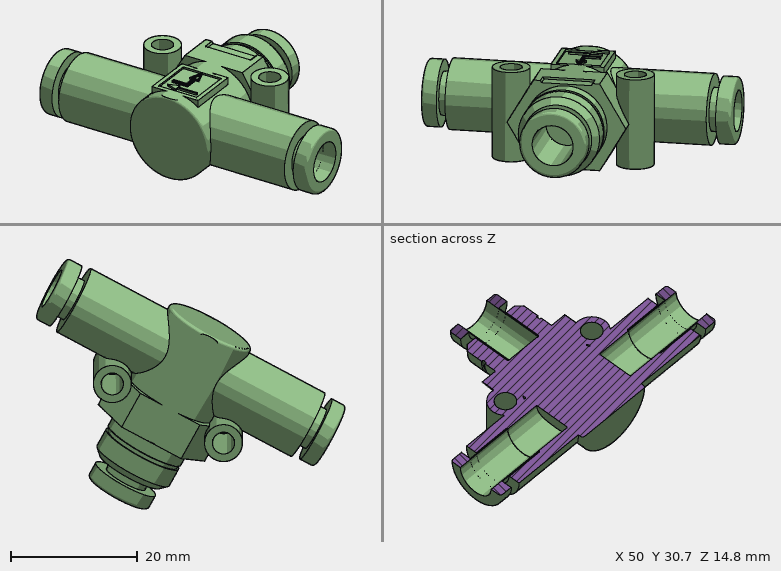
import cadquery as cq


length = 50.0
branch_length = 24.0
barrel_front = -6.65

bush_reach = 3.95
flange_width = 2.5
flange_radius = 5.4
flange_fillet = 0.5
neck_radius = 3.5
bore_radius = 3.3

tube_radius = 5.7
run_face = length / 2 - bush_reach

barrel_diameter = 14.65
barrel_radius = barrel_diameter / 2
barrel_fillet = 0.5
body_height = 14.35
top_z = body_height / 2

hex_back = 13.0
hex_front = 6.8
hex_corner_width = 19.15
hex_flat_width = 10.7

notch_width = 8.4
notch_floor_width = 8.0
notch_length = 2.0
notch_depth = 0.35

collar_radius = 6.55
collar_face = branch_length - bush_reach
sleeve_depth = collar_face - hex_back
groove_radius = 6.25
groove_start = 15.25
groove_width = 0.7
nose_chamfer = 1.05

post_x = 10.0
post_y = 7.55
post_radius = 3.0
post_hole_radius = 1.75
post_height = 14.8

pad_width = 8.6
pad_back = 4.2
pad_front = -4.65
pad_length = pad_back - pad_front
pad_centre_y = (pad_back + pad_front) / 2
pad_rim = 0.75
recess_depth = 0.3

arrow_left = -2.65
bent_arrow_y = -1.1
bent_arrow_stroke = 0.45
bent_arrow_wall = 0.15
bent_head_base = 1.05
bent_head_half_width = 0.85
run_arrow_right = 2.85
run_arrow_y = -2.7
run_arrow_stroke = 0.3
run_head_base = -0.7
run_head_half_width = 0.65


def make_bush():
    """Flanged sleeve along +X; x = 0 lies on the port's face."""
    flange_start = bush_reach - flange_width
    inner_end = cq.Workplane("YZ", origin=(-sleeve_depth, 0, 0))
    sleeve = inner_end.circle(neck_radius).extrude(sleeve_depth + flange_start)
    flange = cq.Workplane("YZ", origin=(flange_start, 0, 0)).circle(flange_radius).extrude(flange_width)
    flange = flange.faces(">X").edges().fillet(flange_fillet)
    bore = inner_end.circle(bore_radius).extrude(sleeve_depth + bush_reach)
    return sleeve.union(flange).cut(bore)


def make_run_tubes():
    """Both run tubes as one pipe, widened at each end for a bush; the barrel later plugs the middle."""
    shoulder_x = run_face - sleeve_depth
    outline = [
        (-run_face, neck_radius),
        (-shoulder_x, neck_radius),
        (-shoulder_x, bore_radius),
        (shoulder_x, bore_radius),
        (shoulder_x, neck_radius),
        (run_face, neck_radius),
        (run_face, tube_radius),
        (-run_face, tube_radius),
    ]
    return cq.Workplane("XY").polyline(outline).close().revolve(360, (0, 0, 0), (1, 0, 0))


def make_barrel():
    """Barrel along Y with a rounded front rim and flats on its top and bottom."""
    barrel_length = hex_back - barrel_front
    back_plane = cq.Workplane("XZ", origin=(0, hex_back, 0))
    barrel = back_plane.circle(barrel_radius).extrude(barrel_length)
    barrel = barrel.faces("<Y").edges().fillet(barrel_fillet)
    slab = back_plane.rect(barrel_diameter, body_height).extrude(barrel_length)
    return barrel.intersect(slab)


def make_hex_block():
    """Stretched hexagon along Y, with flat top and bottom and a corner on each side."""
    corner_x = hex_corner_width / 2
    flat_x = hex_flat_width / 2
    outline = [
        (corner_x, 0),
        (flat_x, top_z),
        (-flat_x, top_z),
        (-corner_x, 0),
        (-flat_x, -top_z),
        (flat_x, -top_z),
    ]
    back_plane = cq.Workplane("XZ", origin=(0, hex_back, 0))
    return back_plane.polyline(outline).close().extrude(hex_back - hex_front)


def make_notch():
    """Shallow notch in the hexagon's top, narrower at its floor than at its mouth."""
    top_x = notch_width / 2
    floor_x = notch_floor_width / 2
    floor_z = top_z - notch_depth
    outline = [(-top_x, top_z), (-floor_x, floor_z), (floor_x, floor_z), (top_x, top_z)]
    return cq.Workplane("XZ", origin=(0, hex_back, 0)).polyline(outline).close().extrude(notch_length)


def make_collar():
    """Grooved ring from the hexagon's back to the branch bush, with a chamfered nose."""
    groove_end = groove_start + groove_width
    outline = [
        (neck_radius, hex_back),
        (collar_radius, hex_back),
        (collar_radius, groove_start),
        (groove_radius, groove_start),
        (groove_radius, groove_end),
        (collar_radius, groove_end),
        (collar_radius, collar_face - nose_chamfer),
        (collar_radius - nose_chamfer, collar_face),
        (neck_radius, collar_face),
    ]
    return cq.Workplane("XY").polyline(outline).close().revolve(360, (0, 0, 0), (0, 1, 0))


def make_posts(radius):
    """Two upright cylinders at the mounting posts' places."""
    return (
        cq.Workplane("XY", origin=(0, post_y, -post_height / 2))
        .pushPoints([(-post_x, 0), (post_x, 0)])
        .circle(radius)
        .extrude(post_height)
    )


def make_pad():
    """Rectangular pad, level with the barrel's top flat."""
    return cq.Workplane("XY", origin=(0, pad_centre_y, 0)).rect(pad_width, pad_length).extrude(top_z)


def make_recess():
    """Space inside the pad's rim, around the raised arrows."""
    recess = (
        cq.Workplane("XY", origin=(0, pad_centre_y, top_z))
        .rect(pad_width - 2 * pad_rim, pad_length - 2 * pad_rim)
        .extrude(-recess_depth)
    )
    return recess.cut(make_bent_arrow()).cut(make_run_arrow())


def draw_arrow(outline):
    """Closed arrow outline at the height of the pad's top."""
    return cq.Workplane("XY", origin=(0, 0, top_z)).polyline(outline).close()


def make_bent_arrow():
    """Thin wall around an arrow that comes along +X and turns to +Y, its tip on the recess wall."""
    half_stroke = bent_arrow_stroke / 2
    tip_y = pad_back - pad_rim
    outline = [
        (arrow_left, bent_arrow_y - half_stroke),
        (half_stroke, bent_arrow_y - half_stroke),
        (half_stroke, bent_head_base),
        (bent_head_half_width, bent_head_base),
        (0, tip_y),
        (-bent_head_half_width, bent_head_base),
        (-half_stroke, bent_head_base),
        (-half_stroke, bent_arrow_y + half_stroke),
        (arrow_left, bent_arrow_y + half_stroke),
    ]
    solid_arrow = draw_arrow(outline).extrude(-recess_depth)
    hollow = draw_arrow(outline).offset2D(-bent_arrow_wall, "intersection").extrude(-recess_depth)
    return solid_arrow.cut(hollow)


def make_run_arrow():
    """Straight arrow that points to -X."""
    half_stroke = run_arrow_stroke / 2
    outline = [
        (run_arrow_right, run_arrow_y - half_stroke),
        (run_arrow_right, run_arrow_y + half_stroke),
        (run_head_base, run_arrow_y + half_stroke),
        (run_head_base, run_arrow_y + run_head_half_width),
        (arrow_left, run_arrow_y),
        (run_head_base, run_arrow_y - run_head_half_width),
        (run_head_base, run_arrow_y - half_stroke),
    ]
    return draw_arrow(outline).extrude(-recess_depth)


def make_housing():
    """All of the housing's shapes joined, then its holes and recesses cut."""
    housing = make_run_tubes().union(make_barrel()).union(make_hex_block()).union(make_pad())
    housing = housing.union(make_collar()).union(make_posts(post_radius))
    return housing.cut(make_posts(post_hole_radius)).cut(make_notch()).cut(make_recess())


housing = make_housing()

ports = [(run_face, 0), (collar_face, 90), (run_face, 180)]
bushes = [
    make_bush().translate((face, 0, 0)).rotate((0, 0, 0), (0, 0, 1), angle)
    for face, angle in ports
]

result = cq.Compound.makeCompound([housing.val(), *[bush.val() for bush in bushes]])